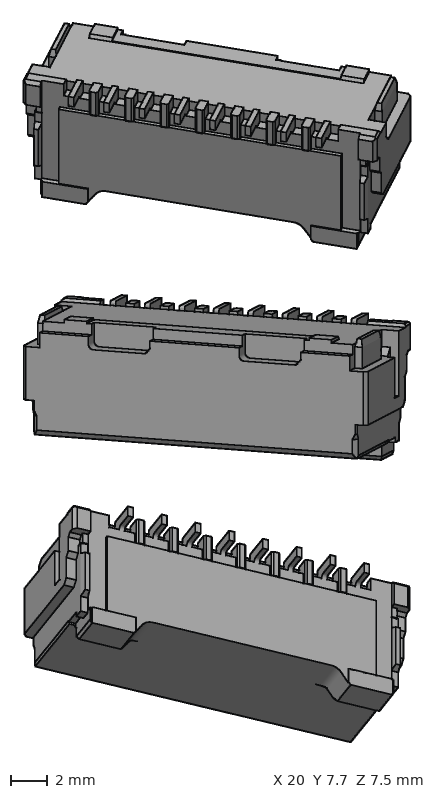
import cadquery as cq

LENGTH = 20.0
DEPTH = 7.7
HEIGHT = 7.5

half_length = LENGTH / 2
core_half = 9.0
flank_half = 9.42
neck_half = 9.32
panel_half = 7.98

foot_front = 0.85
rib_front = 0.85
panel_front = 0.92
frame_front = 1.15
neck_front = 1.18
flank_front = 1.25
recess_back = 1.75
ramp_front = 1.65
arm_back = 2.78
ledge_front = 7.2

base_z = 1.02
cover_bottom = 2.95
shelf_z = 5.9
recess_floor = 6.68
ledge_z = 6.72
top_z = 7.25
raised_z = 7.45

pin_count = 8
pitch = 2.0
pin_width = 0.32
pin_thickness = 0.62
pin_outer_bend = 0.12
pin_inner_bend = 0.2
rib_width = 0.5
rib_chamfer = 0.1
recess_half = 7.75

strip_front = 6.05
strip_z = 7.32
tab_inner = 6.45
tab_bevel = 0.15
notch_width = 3.58
notch_offset = 4.38
notch_front = 6.8
notch_floor = 6.0
notch_corner = 0.3

rear_bevel_run = 0.18
rear_bevel_rise = 0.3

foot_inner = 6.42
pad_outer = 8.9
pad_inner = 6.3
foot_slope_run = 0.75
foot_arc_radius = 0.72
foot_bottom_bevel = 0.25
foot_back_bevel = 0.15
foot_root = 0.22

corner_chamfer = 0.2
step_chamfer = 0.2
edge_bevel_width = 0.12
edge_bevel_height = 0.12
slot_depth = 0.5
slot_back = 3.4
slot_floor = 3.65
slot_corner = 0.25

clip_outer = 9.42
clip_taper = 0.08


def box(x0, x1, y0, y1, z0, z1):
    """Box between two opposite corners."""
    return cq.Workplane("XY").box(x1 - x0, y1 - y0, z1 - z0, centered=False).translate((x0, y0, z0))


def extrude_x(points, x0, x1):
    """Prism of a closed (Y, Z) outline between two X positions."""
    return cq.Workplane("YZ").polyline(points).close().extrude(x1 - x0).translate((x0, 0, 0))


def mirrored(shape):
    """A shape together with its mirror image across the YZ plane."""
    return shape.union(shape.mirror("YZ"))


def make_core():
    """Central housing with the raised front strip and the rear ledge."""
    outline = [
        (frame_front, base_z),
        (frame_front, raised_z),
        (ramp_front, raised_z),
        (recess_back, top_z),
        (ledge_front, top_z),
        (ledge_front, ledge_z),
        (DEPTH, ledge_z),
        (DEPTH, base_z + rear_bevel_rise),
        (DEPTH - rear_bevel_run, base_z),
    ]
    panel = box(-panel_half, panel_half, panel_front, frame_front, base_z, shelf_z)
    return extrude_x(outline, -core_half, core_half).union(panel)


def corner_triangle(leg, z):
    """Triangle across the rear vertical corner of the -X flank, at height z."""
    return cq.Wire.makePolygon(
        [
            cq.Vector(-flank_half, DEPTH, z),
            cq.Vector(-flank_half + leg, DEPTH, z),
            cq.Vector(-flank_half, DEPTH - leg, z),
        ],
        close=True,
    )


def make_flank_corner_cut():
    """Rear corner chamfer of the flank, widening toward the bottom."""
    narrow_leg, wide_leg = 0.1, 0.25
    wide_z, narrow_z = 2.1, 2.4
    wide = cq.Solid.makeLoft([corner_triangle(wide_leg, z) for z in (base_z, wide_z)], True)
    flare = cq.Solid.makeLoft([corner_triangle(wide_leg, wide_z), corner_triangle(narrow_leg, narrow_z)], True)
    narrow = cq.Solid.makeLoft([corner_triangle(narrow_leg, z) for z in (narrow_z, shelf_z)], True)
    return cq.Workplane("XY").add(wide.fuse(flare, narrow))


def make_flank():
    """Lower side wall on the -X end, with its bevelled rear and bottom edges."""
    front_top = 5.28
    rail_back, rail_bottom = 1.82, 0.85
    web_bottom, web_back = 1.15, 2.88
    bottom_bevel_width, bottom_bevel_height = 0.05, 0.18
    rear_outline = [
        (web_back, base_z),
        (web_back, shelf_z),
        (DEPTH, shelf_z),
        (DEPTH, base_z + rear_bevel_rise),
        (DEPTH - rear_bevel_run, base_z),
    ]
    bottom_bevel = (
        cq.Workplane("XZ")
        .polyline([
            (-flank_half, base_z),
            (-flank_half + bottom_bevel_width, base_z),
            (-flank_half, base_z + bottom_bevel_height),
        ])
        .close()
        .extrude(-DEPTH)
    )
    rear = extrude_x(rear_outline, -flank_half, -core_half)
    rear = rear.cut(bottom_bevel).cut(make_flank_corner_cut())
    web = box(-flank_half, -core_half, flank_front, web_back, web_bottom, front_top)
    rail = box(-flank_half, -core_half, flank_front, rail_back, rail_bottom, web_bottom)
    neck = box(-neck_half, -core_half, neck_front, web_back, front_top, shelf_z)
    return rear.union(web).union(rail).union(neck)


def make_cover():
    """Outer end cover on the -X end: low shelf at the rear, tall arm at the front."""
    shelf_front = 3.2
    lower_front, upper_front = 1.85, 1.58
    lower_top = 4.55
    arm_rise = shelf_front - arm_back
    lower_chamfer = 0.3
    middle_chamfer = lower_front - upper_front
    outline = [
        (DEPTH, cover_bottom),
        (DEPTH, shelf_z),
        (shelf_front, shelf_z),
        (arm_back, shelf_z + arm_rise),
        (arm_back, top_z),
        (recess_back, top_z),
        (ramp_front, raised_z),
        (foot_front, raised_z),
        (foot_front, shelf_z),
        (upper_front - step_chamfer, shelf_z),
        (upper_front, shelf_z - step_chamfer),
        (upper_front, lower_top + middle_chamfer),
        (lower_front, lower_top),
        (lower_front, cover_bottom + lower_chamfer),
        (lower_front + lower_chamfer, cover_bottom),
    ]
    cover = extrude_x(outline, -half_length, -core_half)
    cover = cover.faces("<Y").edges("<X").chamfer(corner_chamfer)
    cover = cover.faces("<Y").edges(">Z").chamfer(corner_chamfer)
    cover = cover.faces(">Y").edges("<X").chamfer(corner_chamfer)
    edge_bevel = (
        cq.Workplane("XZ")
        .polyline([
            (-half_length, raised_z - edge_bevel_height),
            (-half_length + edge_bevel_width, raised_z),
            (-half_length, raised_z),
        ])
        .close()
        .extrude(-recess_back)
    )
    return cover.cut(edge_bevel)


def make_top_clip():
    """Upright plate on the -X cover, tapering to its top."""
    y0, y1 = 3.98, 6.88
    taper_z = 7.08
    end_taper = 0.15
    thickness = clip_outer - core_half
    plate = box(-clip_outer, -core_half, y0, y1, shelf_z, taper_z)
    tip = (
        cq.Workplane("XY", origin=(-(clip_outer + core_half) / 2, (y0 + y1) / 2, taper_z))
        .rect(thickness, y1 - y0)
        .workplane(offset=HEIGHT - taper_z)
        .rect(thickness - 2 * clip_taper, y1 - y0 - 2 * end_taper)
        .loft(combine=True)
    )
    return plate.union(tip)


def make_front_clip():
    """Tapered tongue standing out of the -X side wall toward the front."""
    z0, z1 = 1.82, 4.62
    tip_y = 0.8
    end_taper = 0.2
    thickness = clip_outer - core_half
    return (
        cq.Workplane("XZ", origin=(-(clip_outer + core_half) / 2, flank_front, (z0 + z1) / 2))
        .rect(thickness, z1 - z0)
        .workplane(offset=flank_front - tip_y)
        .rect(thickness - 2 * clip_taper, z1 - z0 - 2 * end_taper)
        .loft(combine=True)
    )


def make_foot():
    """Foot on the -X end: a flared block with a thin pad on its front."""
    flare_end = -foot_inner + foot_slope_run
    edge_bevel = core_half - pad_outer
    block_end = flare_end + foot_arc_radius
    block = (
        cq.Workplane("XZ")
        .moveTo(-core_half, base_z + foot_root)
        .lineTo(-core_half, foot_bottom_bevel)
        .lineTo(-core_half + edge_bevel, 0)
        .lineTo(-foot_inner, 0)
        .lineTo(flare_end, base_z)
        .lineTo(block_end, base_z)
        .lineTo(block_end, base_z + foot_root)
        .close()
        .extrude(-DEPTH)
    )
    flare_edge = cq.selectors.NearestToPointSelector((flare_end, DEPTH / 2, base_z))
    block = block.edges(flare_edge).fillet(foot_arc_radius)
    side = extrude_x(
        [
            (panel_front, 0),
            (arm_back - foot_back_bevel, 0),
            (arm_back, foot_bottom_bevel),
            (arm_back, base_z - foot_root),
            (arm_back + foot_root, base_z),
            (arm_back + foot_root, base_z + foot_root),
            (frame_front, base_z + foot_root),
            (frame_front, base_z),
            (panel_front, base_z),
        ],
        -core_half,
        0,
    )
    pad = box(-pad_outer, -pad_inner, foot_front, frame_front, 0, base_z)
    pad_corner_height = (foot_inner - pad_inner) * base_z / foot_slope_run
    pad_corner = (
        cq.Workplane("XZ")
        .polyline([
            (-foot_inner, 0),
            (-pad_inner, 0),
            (-pad_inner, pad_corner_height),
        ])
        .close()
        .extrude(-DEPTH)
    )
    return block.intersect(side).union(pad.cut(pad_corner))


def make_rear_strip():
    """Low strip along the rear top edge with a higher bevelled tab at each end."""
    strip = box(-tab_inner, tab_inner, strip_front, ledge_front, top_z, strip_z)
    tab_outline = [
        (strip_front, top_z),
        (strip_front + tab_bevel, raised_z),
        (ledge_front, raised_z),
        (ledge_front, top_z),
    ]
    return strip.union(mirrored(extrude_x(tab_outline, -recess_half, -tab_inner)))


def make_notch(x_center):
    """Rear top notch with one chamfered and one rounded bottom corner."""
    half = notch_width / 2
    notch = box(x_center - half, x_center + half, notch_front, DEPTH, notch_floor, HEIGHT)
    notch = notch.faces("<Z").edges("<X").chamfer(notch_corner)
    return notch.faces("<Z").edges(">X").fillet(notch_corner)


def make_slot():
    """Vertical slot in the outer face of the -X cover, open at the shelf."""
    slot = box(-half_length, -half_length + slot_depth, arm_back, slot_back, slot_floor, HEIGHT)
    return slot.faces(">X").edges(">Y").fillet(slot_corner)


def make_pin(x_center):
    """Contact tail leaving the recess wall, bent down at its root."""
    pin_bottom = HEIGHT - pin_thickness
    blade = (
        cq.Workplane("YZ")
        .moveTo(0, pin_bottom)
        .lineTo(0, HEIGHT)
        .lineTo(recess_back - pin_outer_bend, HEIGHT)
        .radiusArc((recess_back, HEIGHT - pin_outer_bend), pin_outer_bend)
        .lineTo(recess_back, recess_floor)
        .lineTo(frame_front, recess_floor)
        .radiusArc((frame_front - pin_inner_bend, pin_bottom), -pin_inner_bend)
        .close()
        .extrude(pin_width / 2, both=True)
    )
    return blade.translate((x_center, 0, 0))


def make_rib(x_center):
    """Upright rib between two neighbouring contacts."""
    half = rib_width / 2
    rib = box(x_center - half, x_center + half, rib_front, recess_back, shelf_z, raised_z)
    return rib.faces("<Y").edges("|Z").chamfer(rib_chamfer)


side = make_flank()
for feature in (make_cover(), make_top_clip(), make_front_clip(), make_foot()):
    side = side.union(feature)
body = make_core().union(mirrored(side)).union(make_rear_strip())

body = body.cut(box(-recess_half, recess_half, 0, recess_back, recess_floor, HEIGHT))
body = body.cut(make_slot())
for notch_center in (-notch_offset, notch_offset):
    body = body.cut(make_notch(notch_center))

for index in range(pin_count):
    body = body.union(make_pin((index - (pin_count - 1) / 2) * pitch))
for index in range(pin_count - 1):
    body = body.union(make_rib((index - (pin_count - 2) / 2) * pitch))

result = body